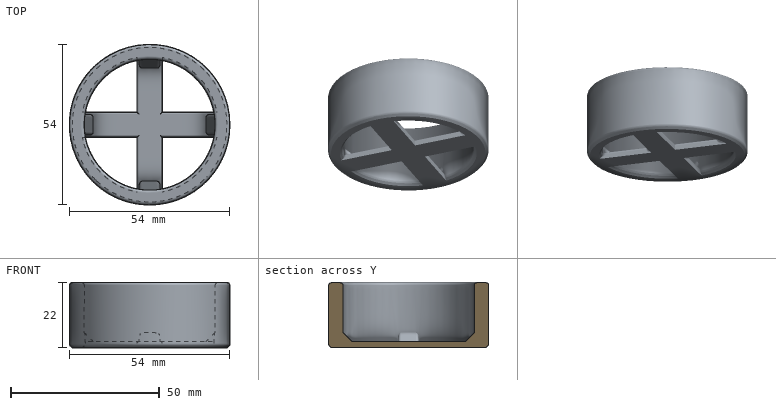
import cadquery as cq

outer_radius = 27.0
bore_radius = 22.0
height = 22.0
rim_round = 1.0
foot_chamfer = 1.0
foot_round = 1.0

arm_width = 8.5
arm_height = 2.2
arm_round = 0.75

gusset_toe_radius = 19.0
gusset_width = arm_width - 2 * arm_round
gusset_round = 1.0

anchor_radius = (outer_radius + bore_radius) / 2


def make_ring():
    """Ring with rounded top rims and a softened chamfer on both edges of its foot."""
    ring = cq.Workplane("XY").circle(outer_radius).circle(bore_radius).extrude(height)
    rounded = ring.faces(">Z").edges().fillet(rim_round)
    chamfered = rounded.faces("<Z").edges().chamfer(foot_chamfer)
    slab_reach = 2 * outer_radius
    knees = cq.selectors.BoxSelector(
        (-slab_reach, -slab_reach, 0.5 * foot_chamfer),
        (slab_reach, slab_reach, 1.5 * foot_chamfer),
        boundingbox=True,
    )
    return chamfered.edges(knees).fillet(foot_round)


def make_cross():
    """Two crossing bars with rounded upper edges, ending inside the ring wall."""
    length = 2 * anchor_radius
    centered = (True, True, False)
    along_x = cq.Workplane("XY").box(length, arm_width, arm_height, centered=centered)
    along_y = cq.Workplane("XY").box(arm_width, length, arm_height, centered=centered)
    cross = along_x.union(along_y)
    return cross.faces(">Z").edges().fillet(arm_round)


def make_gusset():
    """45 degree wedge on the +X arm, rounded along its two sloping edges."""
    run = anchor_radius - gusset_toe_radius
    wedge = (
        cq.Workplane("XZ")
        .moveTo(gusset_toe_radius, 0)
        .lineTo(gusset_toe_radius, arm_height)
        .lineTo(anchor_radius, arm_height + run)
        .lineTo(anchor_radius, 0)
        .close()
        .extrude(gusset_width / 2, both=True)
    )
    sloping_sides = cq.selectors.ParallelDirSelector(cq.Vector(1, 0, 1))
    return wedge.edges(sloping_sides).fillet(gusset_round)


arm_count = 4
arm_spacing = 360 / arm_count

spokes = make_cross()
for arm in range(arm_count):
    spokes = spokes.union(make_gusset().rotate((0, 0, 0), (0, 0, 1), arm * arm_spacing))

result = make_ring().union(spokes)